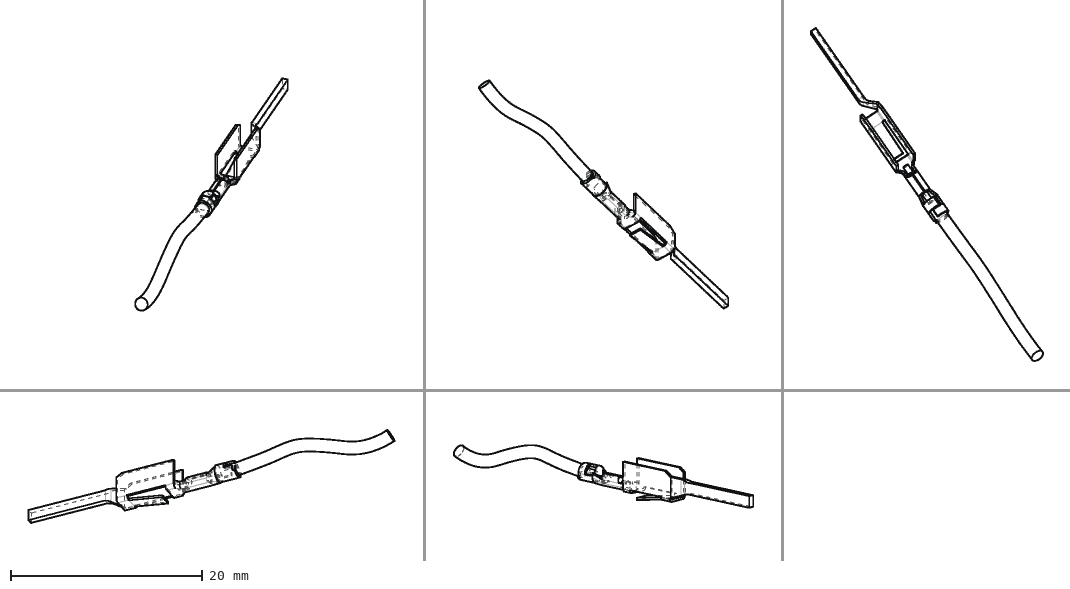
import cadquery as cq
import math


TOTAL_LENGTH = 42.15
SHEET = 0.25

BOX_HALF_WIDTH = 1.2
BOX_HEIGHT = 3.3
BOX_REAR_Y = 24.9
BOX_FRONT_Y = 31.55
BOX_BEND_RADIUS = 0.4
BOX_CHAMFER_LENGTH = 0.67
BOX_CHAMFER_HEIGHT = 0.42
WINDOW_REAR_Y = 25.87
WINDOW_FRONT_Y = 30.3

TONGUE_HALF_WIDTH = 0.695
TONGUE_TIP_Y = 26.42
TONGUE_DROP = 0.67

BLADE_HALF_THICKNESS = 0.315
BLADE_REAR_Y = 33.3
BLADE_BOTTOM = 1.0
BLADE_TOP = 2.28
STRIP_BLADE_BEND_Y = 32.9
STRIP_BEND_RADIUS = 0.75
STRIP_WIDTH_X = SHEET * math.sqrt(2)
STRIP_BOX_BOTTOM = 0.45
STRIP_BOX_TOP = 2.82

CHANNEL_HALF_WIDTH = 0.695
CHANNEL_BEND_RADIUS = 0.36
CHANNEL_WALL_TOP = 0.737
NECK_FRONT_HALF_WIDTH = 1.15
NECK_REAR_Y = 24.45
CRIMP_FRONT_Y = 23.85
CRIMP_REAR_Y = 21.35
CRIMP_TOP = 1.25
CRIMP_SEAM_DEPTH = 0.105
CRIMP_SEAM_HALF_WIDTH = 0.065
CRIMP_BEVEL_LENGTH = 0.3

WIRE_RADIUS = 0.695
SLEEVE_WALL = 0.25
SLEEVE_RADIUS = WIRE_RADIUS + SLEEVE_WALL
SLEEVE_FRONT_Y = 20.25
SLEEVE_SPLIT_Y = 19.2
WING_GAP = 0.1
SLEEVE_REAR_Y = 18.3
CRADLE_REAR_Y = 18.05
CRADLE_TAIL_TOP = 0.42
WING_OVERLAP = 0.42
FLARE_WALL_TOP = 1.25

CONDUCTOR_RADIUS = 0.3
CONDUCTOR_Z = 0.55
WIRE_END_ANGLE = 24.0
WIRE_START_SLOPE = 0.13
WIRE_END_Y = WIRE_RADIUS * math.sin(math.radians(WIRE_END_ANGLE))
WIRE_BENDS = [(13.95, 1.5), (11.4, 1.9), (9.23, 1.47), (6.5, 0.5), (4.9, -0.1), (2.95, -0.36)]
WIRE_END_Z = 0.2


def block(x_range, y_range, z_range):
    size = [high - low for low, high in (x_range, y_range, z_range)]
    return cq.Workplane("XY").box(*size, centered=False).translate((x_range[0], y_range[0], z_range[0]))


def section(y):
    """Workplane across the part at y, with local axes X and Z."""
    return cq.Workplane("XZ", origin=(0, y, 0))


def rod(radius, z, rear_y, front_y):
    return section(front_y).center(0, z).circle(radius).extrude(front_y - rear_y)


def trough_outline(plane, half_width, bend_radius, bottom, top):
    """Flat-topped outline with two rounded lower corners."""
    flat = half_width - bend_radius
    diagonal = bend_radius * math.sqrt(0.5)
    bend_z = bottom + bend_radius
    return (
        plane.moveTo(-half_width, top)
        .lineTo(-half_width, bend_z)
        .threePointArc((-flat - diagonal, bend_z - diagonal), (-flat, bottom))
        .lineTo(flat, bottom)
        .threePointArc((flat + diagonal, bend_z - diagonal), (half_width, bend_z))
        .lineTo(half_width, top)
        .close()
    )


def tapered_solid(front, rear, inset, cover):
    """Loft between two trough sections given as (y, half width, bend radius, wall top)."""
    front_y, front_width, front_radius, front_top = front
    rear_y, rear_width, rear_radius, rear_top = rear
    plane = trough_outline(
        section(front_y), front_width - inset, front_radius - inset, inset, front_top + cover
    )
    plane = plane.workplane(offset=front_y - rear_y)
    outline = trough_outline(plane, rear_width - inset, rear_radius - inset, inset, rear_top + cover)
    return outline.loft(ruled=True, combine=True)


def trough(front, rear, wall):
    return tapered_solid(front, rear, 0, 0).cut(tapered_solid(front, rear, wall, SHEET))


def spring_box():
    end = (BOX_HALF_WIDTH, BOX_BEND_RADIUS, BOX_HEIGHT)
    box = trough((BOX_FRONT_Y, *end), (BOX_REAR_Y, *end), SHEET)
    across = (-BOX_HALF_WIDTH, BOX_HALF_WIDTH)
    window = block(across, (WINDOW_REAR_Y, WINDOW_FRONT_Y), (0, BOX_BEND_RADIUS))
    corner = (
        cq.Workplane("YZ")
        .moveTo(BOX_FRONT_Y, BOX_HEIGHT)
        .lineTo(BOX_FRONT_Y - BOX_CHAMFER_LENGTH, BOX_HEIGHT)
        .lineTo(BOX_FRONT_Y, BOX_HEIGHT - BOX_CHAMFER_HEIGHT)
        .close()
        .extrude(BOX_HALF_WIDTH, both=True)
    )
    return box.cut(window).cut(corner)


def spring_tongue():
    return (
        cq.Workplane("YZ")
        .moveTo(WINDOW_FRONT_Y, 0)
        .lineTo(WINDOW_FRONT_Y, SHEET)
        .lineTo(TONGUE_TIP_Y, SHEET - TONGUE_DROP)
        .lineTo(TONGUE_TIP_Y, -TONGUE_DROP)
        .close()
        .extrude(TONGUE_HALF_WIDTH, both=True)
    )


def blade():
    across = (-BLADE_HALF_THICKNESS, BLADE_HALF_THICKNESS)
    return block(across, (BLADE_REAR_Y, TOTAL_LENGTH), (BLADE_BOTTOM, BLADE_TOP))


def blade_strip():
    wall_inside = BOX_HALF_WIDTH - SHEET
    inner_end_y = STRIP_BLADE_BEND_Y - (wall_inside + BLADE_HALF_THICKNESS)
    outer_start_y = STRIP_BLADE_BEND_Y + STRIP_WIDTH_X - 2 * BLADE_HALF_THICKNESS
    outer_end_y = outer_start_y - (BOX_HALF_WIDTH - BLADE_HALF_THICKNESS)
    plan = (
        cq.Workplane("XY")
        .polyline([
            (-BLADE_HALF_THICKNESS, BLADE_REAR_Y),
            (-BLADE_HALF_THICKNESS, STRIP_BLADE_BEND_Y),
            (wall_inside, inner_end_y),
            (wall_inside, BOX_FRONT_Y),
            (BOX_HALF_WIDTH, BOX_FRONT_Y),
            (BOX_HALF_WIDTH, outer_end_y),
            (BLADE_HALF_THICKNESS, outer_start_y),
            (BLADE_HALF_THICKNESS, BLADE_REAR_Y),
        ])
        .close()
        .extrude(BOX_HEIGHT)
    )
    mid_height = BOX_HEIGHT / 2
    left_bend = (-BLADE_HALF_THICKNESS, STRIP_BLADE_BEND_Y, mid_height)
    right_bend = (BLADE_HALF_THICKNESS, outer_start_y, mid_height)
    plan = plan.edges(cq.NearestToPointSelector(left_bend)).fillet(STRIP_BEND_RADIUS)
    plan = plan.edges(cq.NearestToPointSelector(right_bend)).fillet(STRIP_BEND_RADIUS - SHEET)
    taper = (
        cq.Workplane("YZ")
        .polyline([
            (BOX_FRONT_Y, STRIP_BOX_BOTTOM),
            (BLADE_REAR_Y, BLADE_BOTTOM),
            (BLADE_REAR_Y, BLADE_TOP),
            (BOX_FRONT_Y, STRIP_BOX_TOP),
        ])
        .close()
        .extrude(BOX_HALF_WIDTH, both=True)
    )
    return plan.intersect(taper)


def channel():
    """Neck behind the box, straight channel, then the flare into the sleeve."""
    straight = (CHANNEL_HALF_WIDTH, CHANNEL_BEND_RADIUS, CHANNEL_WALL_TOP)
    neck_front = (BOX_REAR_Y, NECK_FRONT_HALF_WIDTH, BOX_BEND_RADIUS, CHANNEL_WALL_TOP)
    neck = trough(neck_front, (NECK_REAR_Y, *straight), SHEET)
    middle = trough((NECK_REAR_Y, *straight), (CRIMP_REAR_Y, *straight), SHEET)
    sleeve_bend = SLEEVE_RADIUS - SLEEVE_WALL / 2
    flare = trough(
        (CRIMP_REAR_Y, *straight), (SLEEVE_FRONT_Y, SLEEVE_RADIUS, sleeve_bend, FLARE_WALL_TOP), SLEEVE_WALL
    )
    return neck.union(middle).union(flare)


def conductor_crimp():
    """Closed barrel whose two rolled wings meet in a seam along the top."""
    lobe = CRIMP_TOP - CHANNEL_WALL_TOP
    lobe_x = CHANNEL_HALF_WIDTH - lobe
    diagonal = lobe * math.sqrt(0.5)
    lobe_mid = (lobe_x + diagonal, CHANNEL_WALL_TOP + diagonal)
    base = trough_outline(
        section(CRIMP_FRONT_Y), CHANNEL_HALF_WIDTH, CHANNEL_BEND_RADIUS, 0, CHANNEL_WALL_TOP
    ).extrude(CRIMP_FRONT_Y - CRIMP_REAR_Y)
    wings = (
        section(CRIMP_FRONT_Y)
        .moveTo(-CHANNEL_HALF_WIDTH, CHANNEL_WALL_TOP)
        .threePointArc((-lobe_mid[0], lobe_mid[1]), (-CRIMP_SEAM_HALF_WIDTH, CRIMP_TOP))
        .lineTo(0, CRIMP_TOP - CRIMP_SEAM_DEPTH)
        .lineTo(CRIMP_SEAM_HALF_WIDTH, CRIMP_TOP)
        .threePointArc(lobe_mid, (CHANNEL_HALF_WIDTH, CHANNEL_WALL_TOP))
        .close()
        .extrude(CRIMP_FRONT_Y - CRIMP_REAR_Y)
    )
    bevel = (
        cq.Workplane("YZ")
        .moveTo(CRIMP_FRONT_Y, CHANNEL_WALL_TOP)
        .lineTo(CRIMP_FRONT_Y, CRIMP_TOP)
        .lineTo(CRIMP_FRONT_Y - CRIMP_BEVEL_LENGTH, CRIMP_TOP)
        .close()
        .extrude(CHANNEL_HALF_WIDTH, both=True)
    )
    return base.union(wings.cut(bevel))


def insulation_crimp():
    """Round cradle with two wings, one behind the other, wrapped over from opposite sides."""
    across = (-SLEEVE_RADIUS, SLEEVE_RADIUS)
    sleeve_top = 2 * SLEEVE_RADIUS
    upper = (SLEEVE_RADIUS, sleeve_top)
    sleeve = rod(SLEEVE_RADIUS, SLEEVE_RADIUS, CRADLE_REAR_Y, SLEEVE_FRONT_Y)
    sleeve = sleeve.cut(block((WING_OVERLAP, across[1]), (SLEEVE_SPLIT_Y, SLEEVE_FRONT_Y), upper))
    sleeve = sleeve.cut(block((across[0], -WING_OVERLAP), (SLEEVE_REAR_Y, SLEEVE_SPLIT_Y), upper))
    gap = (SLEEVE_SPLIT_Y - WING_GAP / 2, SLEEVE_SPLIT_Y + WING_GAP / 2)
    sleeve = sleeve.cut(block(across, gap, upper))
    return sleeve.cut(block(across, (CRADLE_REAR_Y, SLEEVE_REAR_Y), (CRADLE_TAIL_TOP, sleeve_top)))


def wire():
    inside = rod(WIRE_RADIUS, SLEEVE_RADIUS, CRADLE_REAR_Y, SLEEVE_FRONT_Y)
    conductor = rod(CONDUCTOR_RADIUS, CONDUCTOR_Z, SLEEVE_FRONT_Y, BOX_REAR_Y)
    points = [(CRADLE_REAR_Y, SLEEVE_RADIUS), *WIRE_BENDS, (WIRE_END_Y, WIRE_END_Z)]
    end_slope = math.tan(math.radians(WIRE_END_ANGLE))
    path = cq.Workplane("YZ").spline(points, tangents=[(-1, WIRE_START_SLOPE), (-1, end_slope)])
    start = cq.Plane(
        origin=(0, CRADLE_REAR_Y, SLEEVE_RADIUS), xDir=(1, 0, 0), normal=(0, -1, WIRE_START_SLOPE)
    )
    bent = cq.Workplane(start).circle(WIRE_RADIUS).sweep(path)
    return inside.union(conductor).union(bent)


result = spring_box()
for feature in (
    spring_tongue(), blade(), blade_strip(), channel(), conductor_crimp(), insulation_crimp(), wire()
):
    result = result.union(feature)